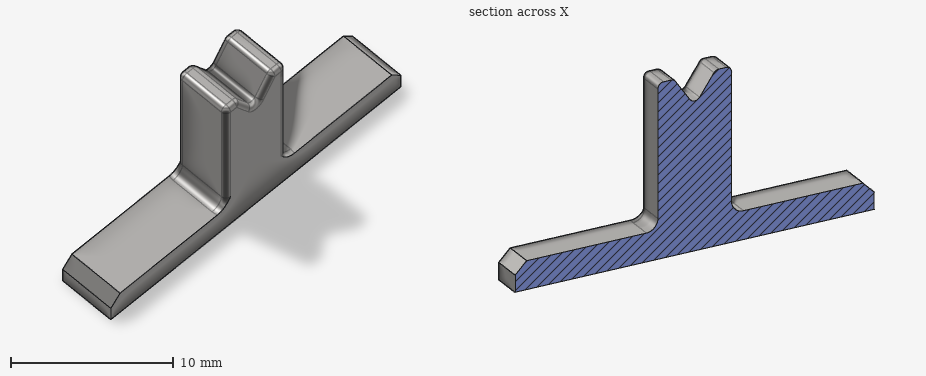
import cadquery as cq
import math

width = 4.2
length = 25.2
base_height = 2.0
end_chamfer = 0.8

total_height = 12.0
stem_length = 5.2
edge_radius = 0.4
foot_radius = 0.8

notch_width = 2.92
notch_flank_angle = 55.0
notch_bottom_radius = 0.4
notch_depth = notch_width / 2 * math.tan(math.radians(notch_flank_angle))


def make_base():
    bar = cq.Workplane("XY").box(width, length, base_height, centered=(True, True, False))
    return bar.faces(">Z").edges("|X").chamfer(end_chamfer)


def make_stem():
    """Notched upright with every edge rounded except those at its bottom."""
    half = stem_length / 2
    half_notch = notch_width / 2
    stem = (
        cq.Workplane("YZ")
        .moveTo(-half, 0)
        .lineTo(-half, total_height)
        .lineTo(-half_notch, total_height)
        .lineTo(0, total_height - notch_depth)
        .lineTo(half_notch, total_height)
        .lineTo(half, total_height)
        .lineTo(half, 0)
        .close()
        .extrude(width / 2, both=True)
    )
    apex = cq.selectors.NearestToPointSelector((0, 0, total_height - notch_depth))
    stem = stem.edges("|X").edges(apex).fillet(notch_bottom_radius)
    top_edges = stem.faces(">Z").edges("|X")
    stem = top_edges.fillet(edge_radius)
    return stem.faces("<X or >X").edges("not <Z").fillet(edge_radius)


def make_foot(side):
    """Concave flare at one stem end, wrapping its rounded corners."""
    wall = side * stem_length / 2
    corner_x = width / 2 - edge_radius
    corner_y = wall - side * edge_radius
    top = base_height + foot_radius
    diagonal = foot_radius * (1 - math.sqrt(0.5))

    def profile(start_x):
        return (
            cq.Workplane("YZ", origin=(start_x, 0, 0))
            .moveTo(corner_y, base_height)
            .lineTo(wall + side * foot_radius, base_height)
            .threePointArc((wall + side * diagonal, base_height + diagonal), (wall, top))
            .lineTo(corner_y, top)
            .close()
        )

    foot = profile(-corner_x).extrude(2 * corner_x)
    for x in (-corner_x, corner_x):
        foot = foot.union(profile(x).revolve(360, (corner_y, 0), (corner_y, 1)))
    clip_length = edge_radius + foot_radius
    clip = (
        cq.Workplane("XY")
        .box(width, clip_length, foot_radius, centered=(True, True, False))
        .translate((0, corner_y + side * clip_length / 2, base_height))
    )
    return foot.intersect(clip)


result = make_base().union(make_stem())
for side in (-1, 1):
    result = result.union(make_foot(side))